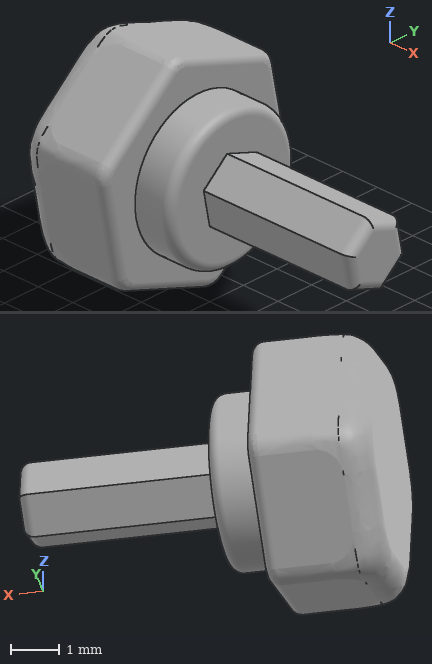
import cadquery as cq
import math

total_length = 7.75
head_length = 2.55
collar_length = 1.01
stem_length = total_length - head_length - collar_length

head_across_flats = 5.22
head_corner_radius = 0.495
collar_diameter = 3.75
stem_across_flats = 1.6
hex_tilt = 11.1
hex_sides = 6
hex_turn = 360 / hex_sides
half_turn_cos = math.cos(math.radians(hex_turn / 2))
half_turn_tan = math.tan(math.radians(hex_turn / 2))

end_round = 0.25
rim_radius = 0.6
blend_end = 1.14
corner_setback = 0.6
front_corner_cut = 0.15
blend_steps = 8

apothem = head_across_flats / 2
plain_corner_reach = head_corner_radius * half_turn_tan
plain_corner_cut = head_corner_radius * (1 / half_turn_cos - 1)
flat_half_length = apothem * half_turn_tan - plain_corner_reach


def hex_point(distance, angle, x):
    """Point at a polar position, measured from +Y towards +Z, in the plane at x."""
    return cq.Vector(x, distance * math.cos(angle), distance * math.sin(angle))


def head_outline(x, inset, setback, corner_cut):
    """Hexagon wire with six flats joined by Bezier corners tangent to them."""
    radius = (apothem - inset) / half_turn_cos
    reach = radius * math.sin(math.radians(hex_turn / 2)) - flat_half_length + setback
    chord_depth = reach * math.cos(math.radians(180 - hex_turn) / 2)
    handle = (1 - corner_cut / chord_depth) * 4 / 3
    edges = []
    for side in range(hex_sides):
        angle = math.radians(90 + hex_tilt + hex_turn * side)
        previous, corner, following = [
            hex_point(radius, angle + math.radians(turn), x) for turn in (-hex_turn, 0, hex_turn)
        ]
        towards_previous = (previous - corner).normalized()
        towards_following = (following - corner).normalized()
        start = corner + towards_previous * reach
        end = corner + towards_following * reach
        start_handle = corner + towards_previous * (reach * (1 - handle))
        end_handle = corner + towards_following * (reach * (1 - handle))
        next_start = following - towards_following * reach
        edges.append(cq.Edge.makeBezier([start, start_handle, end_handle, end]))
        edges.append(cq.Edge.makeLine(end, next_start))
    return cq.Wire.assembleEdges(edges)


def corner_cut_at(x):
    """Corner cut easing from the front face to the end of the blend."""
    ease = (1 - math.cos(math.pi * x / blend_end)) / 2
    return front_corner_cut + (plain_corner_cut - front_corner_cut) * ease


def blend_angles():
    return [math.pi / 2 * step / blend_steps for step in range(blend_steps + 1)]


def make_rim():
    """Rounded front of the head, swept through a quarter circle."""
    outlines = []
    for angle in blend_angles():
        x = rim_radius * (1 - math.cos(angle))
        inset = rim_radius * (1 - math.sin(angle))
        outlines.append(head_outline(x, inset, corner_setback, corner_cut_at(x)))
    return cq.Workplane(cq.Solid.makeLoft(outlines))


def make_corner_blend():
    """Stretch where the wide front corners narrow to the plain rounding."""
    outlines = []
    for angle in blend_angles():
        x = blend_end - (blend_end - rim_radius) * math.cos(angle)
        setback = corner_setback * (1 - math.sin(angle))
        outlines.append(head_outline(x, 0, setback, corner_cut_at(x)))
    return cq.Workplane(cq.Solid.makeLoft(outlines))


def make_head_body():
    """Plain hexagonal stretch with its rear edge rounded."""
    outline = head_outline(blend_end, 0, 0, plain_corner_cut)
    length = head_length - blend_end
    body = cq.Solid.extrudeLinear(outline, [], cq.Vector(length, 0, 0))
    return cq.Workplane(body).faces(">X").edges().fillet(end_round)


def make_collar():
    collar = cq.Workplane("YZ", origin=(head_length, 0, 0))
    collar = collar.circle(collar_diameter / 2).extrude(collar_length)
    return collar.faces(">X").edges().fillet(end_round)


def make_stem():
    stem = cq.Workplane("YZ", origin=(head_length + collar_length, 0, 0))
    stem = stem.transformed(rotate=(0, 0, 90 + hex_tilt))
    stem = stem.polygon(hex_sides, stem_across_flats / half_turn_cos).extrude(stem_length)
    return stem.faces(">X").edges().fillet(end_round)


head = make_rim().union(make_corner_blend()).union(make_head_body())
result = head.union(make_collar()).union(make_stem())